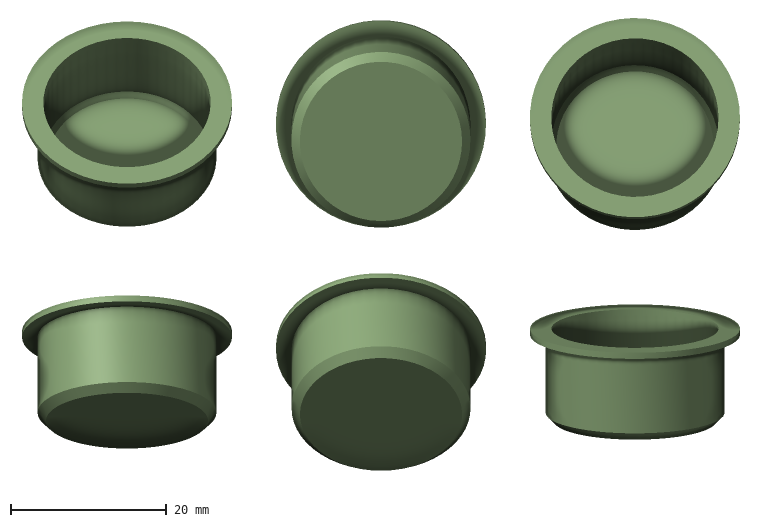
import cadquery as cq
import math

flange_diameter = 27.0
flange_thickness = 0.8
body_diameter = 23.0
bore_diameter = 21.5
total_height = 12.2
outer_chamfer = 1.08

wall = (body_diameter - bore_diameter) / 2
inner_chamfer = outer_chamfer - wall * (2 - math.sqrt(2))


def cylinder(diameter, bottom, top):
    """Solid cylinder on the Z axis between two heights."""
    return cq.Workplane("XY").workplane(offset=bottom).circle(diameter / 2).extrude(top - bottom)


def chamfered_plug(diameter, bottom, chamfer):
    """Cylinder reaching up to the rim, with its bottom edge chamfered."""
    return cylinder(diameter, bottom, total_height).faces("<Z").edges().chamfer(chamfer)


body = chamfered_plug(body_diameter, 0, outer_chamfer)
flange = cylinder(flange_diameter, total_height - flange_thickness, total_height)
cavity = chamfered_plug(bore_diameter, wall, inner_chamfer)

result = body.union(flange).cut(cavity)